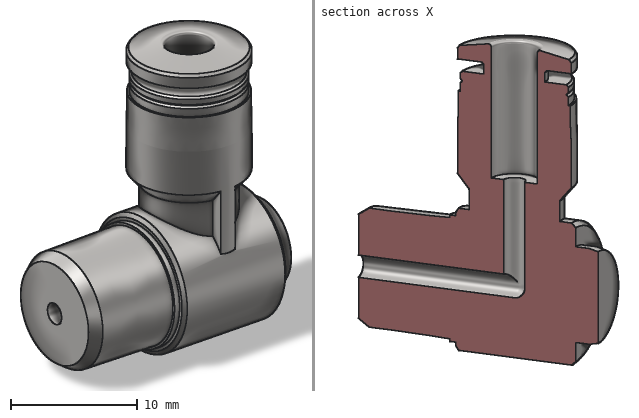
import cadquery as cq
import math


body_radius = 11.8 / 2
body_back = 5.4
body_front = -5.15
back_chamfer = 0.35
front_chamfer_length = 0.25
front_chamfer_height = 0.35

plug_radius = 7.97 / 2
plug_end_radius = 3.8
plug_length = 1.95
plug_taper_length = 0.77

collar_radius = 10.5 / 2
collar_length = 0.51
stud_root_radius = 5.05
stud_tip_radius = 9.9 / 2
stud_end_radius = 4.32
stud_taper_length = 7.05
stud_chamfer_length = 0.95

total_height = 25.7
socket_top = total_height - body_radius
socket_radius = 10.0 / 2
socket_upper_radius = 4.93
neck_radius = 7.97 / 2
cone_bottom_depth = 12.23
cone_top_depth = 11.05
widest_depth = 7.22
shoulder_depth = 4.25

ring_radius = 9.5 / 2
ring_top_depth = 2.55
ring_chamfer = 0.18
groove_radius = 4.57
groove_depth = 3.37
groove_half_width = ring_radius - groove_radius

button_stem_radius = 5.4 / 2
button_flare = 0.15
button_bottom_depth = 1.62
button_rim_depth = 0.7
button_edge_depth = 0.44
button_edge_radius = 4.8

bore_radius = 3.95 / 2
bore_mouth_round = 0.3
bore_mouth_radius = bore_radius + bore_mouth_round
bore_depth = cone_top_depth
passage_radius = 1.8 / 2

rib_width = 1.45


def make_body():
    """Plug, body, collar and stud, revolved about the Y axis."""
    back_end = body_back + plug_length
    collar_end = body_front - collar_length
    taper_end = collar_end - stud_taper_length
    front_end = taper_end - stud_chamfer_length
    outline = [
        (0, back_end),
        (plug_end_radius, back_end),
        (plug_radius, back_end - plug_taper_length),
        (plug_radius, body_back),
        (body_radius - back_chamfer, body_back),
        (body_radius, body_back - back_chamfer),
        (body_radius, body_front + front_chamfer_length),
        (body_radius - front_chamfer_height, body_front),
        (collar_radius, body_front),
        (collar_radius, collar_end),
        (stud_root_radius, collar_end),
        (stud_tip_radius, taper_end),
        (stud_end_radius, front_end),
        (0, front_end),
    ]
    profile = cq.Workplane("XY").polyline(outline).close()
    return profile.revolve(360, (0, 0, 0), (0, 1, 0)), front_end


def revolve_about_z(outline):
    """Revolve (radius, depth below the socket top) points about the Z axis."""
    points = [(radius, socket_top - depth) for radius, depth in outline]
    profile = cq.Workplane("XZ").polyline(points).close()
    return profile.revolve(360, (0, 0, 0), (0, 1, 0))


def make_socket():
    """Neck, socket, end ring and release button, from the body axis upwards."""
    return revolve_about_z([
        (0, socket_top),
        (neck_radius, socket_top),
        (neck_radius, cone_bottom_depth),
        (socket_radius, cone_top_depth),
        (socket_radius, widest_depth),
        (socket_upper_radius, shoulder_depth),
        (ring_radius, shoulder_depth),
        (ring_radius, groove_depth + groove_half_width),
        (groove_radius, groove_depth),
        (ring_radius, groove_depth - groove_half_width),
        (ring_radius, ring_top_depth + ring_chamfer),
        (ring_radius - ring_chamfer, ring_top_depth),
        (button_stem_radius, ring_top_depth),
        (button_stem_radius, button_bottom_depth + button_flare),
        (button_stem_radius + button_flare, button_bottom_depth),
        (socket_radius, button_bottom_depth),
        (socket_radius, button_rim_depth),
        (button_edge_radius, button_edge_depth),
        (bore_mouth_radius, 0),
        (0, 0),
    ])


def make_ribs():
    """Web across the neck whose ends stand out as ribs, rounded flush with the socket."""
    height = socket_top - cone_top_depth
    web = cq.Workplane("XY").box(2 * socket_radius, rib_width, height, centered=(True, True, False))
    return web.intersect(cq.Workplane("XY").circle(socket_radius).extrude(height))


def make_bore():
    """Blind tube bore with a rounded mouth."""
    round_start = socket_top - bore_mouth_round
    arc_offset = bore_mouth_round * math.sqrt(0.5)
    profile = (
        cq.Workplane("XZ")
        .moveTo(0, socket_top)
        .lineTo(bore_mouth_radius, socket_top)
        .threePointArc(
            (bore_mouth_radius - arc_offset, round_start + arc_offset),
            (bore_radius, round_start),
        )
        .lineTo(bore_radius, socket_top - bore_depth)
        .lineTo(0, socket_top - bore_depth)
        .close()
    )
    return profile.revolve(360, (0, 0, 0), (0, 1, 0))


def make_passage(front_end):
    """Elbow passage from the stud face to the bore, with a round corner."""
    front_leg = cq.Workplane("XZ").circle(passage_radius).extrude(-front_end)
    upper_leg = cq.Workplane("XY").circle(passage_radius).extrude(socket_top - bore_depth)
    corner = cq.Workplane("XY").sphere(passage_radius)
    return front_leg.union(upper_leg).union(corner)


body, stud_face = make_body()
result = body.union(make_socket()).union(make_ribs())
result = result.cut(make_bore()).cut(make_passage(stud_face))